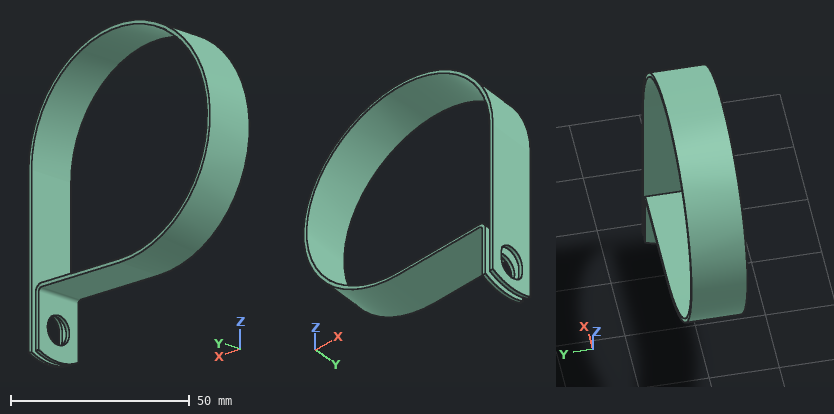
import cadquery as cq
import math

thickness = 1.214
width = 15.875

outer_radius = 70.69 / 2
inner_radius = outer_radius - thickness

overall_height = 90.82
tab_end_z = outer_radius - overall_height
tab_gap = 1.5875
tab_end_sagitta = 1.8
hole_diameter = 8.7
slot_length = 11.1
hole_to_tab_end = 9.45

bend_inner_radius = 1.19
bend_outer_radius = bend_inner_radius + thickness

inner_tab_right_x = inner_radius - tab_gap
inner_tab_left_x = inner_tab_right_x - thickness
bend_x = inner_tab_right_x - bend_outer_radius
bend_z = -outer_radius - bend_inner_radius


def loop_midpoint(radius):
    """Point halfway along the three-quarter turn, at the upper left of the loop."""
    return (-radius * math.sqrt(0.5), radius * math.sqrt(0.5))


def bent_strip():
    """Strip wrapped three quarters of a turn, with both ends running down as tabs."""
    profile = (
        cq.Workplane("XZ", origin=(0, width / 2, 0))
        .moveTo(outer_radius, tab_end_z)
        .lineTo(outer_radius, 0)
        .threePointArc(loop_midpoint(outer_radius), (0, -outer_radius))
        .lineTo(bend_x, -outer_radius)
        .radiusArc((inner_tab_left_x, bend_z), bend_inner_radius)
        .lineTo(inner_tab_left_x, tab_end_z)
        .lineTo(inner_tab_right_x, tab_end_z)
        .lineTo(inner_tab_right_x, bend_z)
        .radiusArc((bend_x, -inner_radius), -bend_outer_radius)
        .lineTo(0, -inner_radius)
        .threePointArc(loop_midpoint(inner_radius), (inner_radius, 0))
        .lineTo(inner_radius, tab_end_z)
        .close()
    )
    return profile.extrude(width)


def rounded_outline():
    """Block spanning the whole part whose lower edge is the curved tab end."""
    half_width = width / 2
    corner_z = tab_end_z + tab_end_sagitta
    return (
        cq.Workplane("YZ", origin=(-outer_radius, 0, 0))
        .moveTo(-half_width, outer_radius)
        .lineTo(-half_width, corner_z)
        .threePointArc((0, tab_end_z), (half_width, corner_z))
        .lineTo(half_width, outer_radius)
        .close()
        .extrude(2 * outer_radius)
    )


def cutter_plane(start_x):
    """Plane facing +X, centred at the height of the bolt openings."""
    return cq.Workplane("YZ", origin=(start_x, 0, tab_end_z + hole_to_tab_end))


def inner_tab_hole():
    """Cylinder along X through the inner tab only."""
    return (
        cutter_plane(inner_tab_left_x - tab_gap / 2)
        .circle(hole_diameter / 2)
        .extrude(thickness + tab_gap)
    )


def outer_tab_slot():
    """Upright round-ended slot through the outer tab only, as wide as the inner tab's hole."""
    return (
        cutter_plane(inner_radius - tab_gap / 2)
        .slot2D(slot_length, hole_diameter, angle=90)
        .extrude(thickness + tab_gap)
    )


result = (
    bent_strip()
    .intersect(rounded_outline())
    .cut(inner_tab_hole())
    .cut(outer_tab_slot())
)